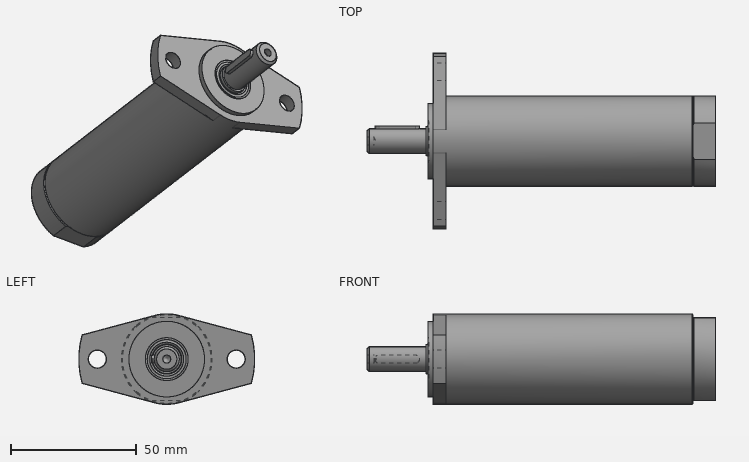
import cadquery as cq
import math

LENGTH = 138.5
COLLAR_X = 23.4
PILOT_X = 24.2
FLANGE_X = 26.3
GROOVE_X = 129.5

BODY_RADIUS = 36.0 / 2
GROOVE_DEPTH = 0.4
CAP_FLAT_DISTANCE = 16.5

FLANGE_RADIUS = 70.0 / 2
FLANGE_THICKNESS = 5.1
FLANGE_SLOPE = math.radians(15)
HOLE_OFFSET = 27.5
HOLE_DIAMETER = 7.0
PILOT_RADIUS = 30.0 / 2

SHAFT_RADIUS = 10.0 / 2
SHAFT_TIP_CHAMFER = 1.0
CENTRE_RADIUS = 3.2 / 2
CENTRE_DEPTH = 2.8
CENTRE_POINT_LENGTH = 1.0

COLLAR_RADIUS = 11.9 / 2
COLLAR_TIP_RADIUS = 11.5 / 2
LIP_RADIUS = 13.5 / 2
LIP_ROOT_DEPTH = 0.4
VALLEY_RADIUS = 7.3
VALLEY_DEPTH = 0.48
RIM_INNER_RADIUS = 15.5 / 2
RIM_OUTER_RADIUS = 17.0 / 2
RIM_DEPTH = 0.3

KEY_X = 3.2
KEY_LENGTH = 17.7
KEY_WIDTH = 3.2
KEY_TOP = 6.1
KEY_SEAT = 3.5


def make_turned_body():
    """Shaft, seal, pilot, body and cap as one half profile turned about X."""
    nose = [
        (CENTRE_DEPTH + CENTRE_POINT_LENGTH, 0),
        (CENTRE_DEPTH, CENTRE_RADIUS),
        (0, CENTRE_RADIUS),
        (0, SHAFT_RADIUS - SHAFT_TIP_CHAMFER),
        (SHAFT_TIP_CHAMFER, SHAFT_RADIUS),
        (COLLAR_X, SHAFT_RADIUS),
        (COLLAR_X, COLLAR_TIP_RADIUS),
        (PILOT_X, COLLAR_RADIUS),
        (PILOT_X + LIP_ROOT_DEPTH, COLLAR_RADIUS),
        (PILOT_X, LIP_RADIUS),
    ]
    valley_bottom = (PILOT_X + VALLEY_DEPTH, VALLEY_RADIUS)
    rim_x = PILOT_X + RIM_DEPTH
    rim_start = (rim_x, RIM_INNER_RADIUS)
    housing = [
        (rim_x, RIM_OUTER_RADIUS),
        (PILOT_X, RIM_OUTER_RADIUS),
        (PILOT_X, PILOT_RADIUS),
        (FLANGE_X, PILOT_RADIUS),
        (FLANGE_X, BODY_RADIUS),
        (GROOVE_X - GROOVE_DEPTH, BODY_RADIUS),
        (GROOVE_X, BODY_RADIUS - GROOVE_DEPTH),
        (GROOVE_X + GROOVE_DEPTH, BODY_RADIUS),
        (LENGTH, BODY_RADIUS),
        (LENGTH, 0),
    ]
    return (
        cq.Workplane("XY")
        .polyline(nose)
        .threePointArc(valley_bottom, rim_start)
        .polyline(housing, includeCurrent=True)
        .close()
        .revolve(360, (0, 0, 0), (1, 0, 0))
    )


def make_cap_flats():
    """Blocks that trim the cap to flats above and below the axis."""
    block_length = LENGTH - GROOVE_X
    block_height = BODY_RADIUS
    block = cq.Workplane("XY").box(block_length, 2 * BODY_RADIUS, block_height)
    block_x = GROOVE_X + block_length / 2
    block_z = CAP_FLAT_DISTANCE + block_height / 2
    return block.translate((block_x, 0, block_z)).union(block.translate((block_x, 0, -block_z)))


def make_flange():
    """Two-hole flange: sloped sides tangent to the body, ends rounded about the axis."""
    tangent_y = BODY_RADIUS * math.sin(FLANGE_SLOPE)
    tangent_z = BODY_RADIUS * math.cos(FLANGE_SLOPE)
    slope_length = math.sqrt(FLANGE_RADIUS**2 - BODY_RADIUS**2)
    corner_y = tangent_y + slope_length * math.cos(FLANGE_SLOPE)
    corner_z = tangent_z - slope_length * math.sin(FLANGE_SLOPE)
    return (
        cq.Workplane("YZ", origin=(FLANGE_X, 0, 0))
        .moveTo(corner_y, -corner_z)
        .threePointArc((FLANGE_RADIUS, 0), (corner_y, corner_z))
        .lineTo(tangent_y, tangent_z)
        .lineTo(-tangent_y, tangent_z)
        .lineTo(-corner_y, corner_z)
        .threePointArc((-FLANGE_RADIUS, 0), (-corner_y, -corner_z))
        .lineTo(-tangent_y, -tangent_z)
        .lineTo(tangent_y, -tangent_z)
        .close()
        .pushPoints([(HOLE_OFFSET, 0), (-HOLE_OFFSET, 0)])
        .circle(HOLE_DIAMETER / 2)
        .extrude(FLANGE_THICKNESS)
    )


def make_key():
    """Round-ended key standing out of the shaft on its +Y side."""
    return (
        cq.Workplane("XZ", origin=(KEY_X + KEY_LENGTH / 2, KEY_SEAT, 0))
        .slot2D(KEY_LENGTH, KEY_WIDTH)
        .extrude(KEY_SEAT - KEY_TOP)
    )


result = make_turned_body().cut(make_cap_flats()).union(make_flange()).union(make_key())